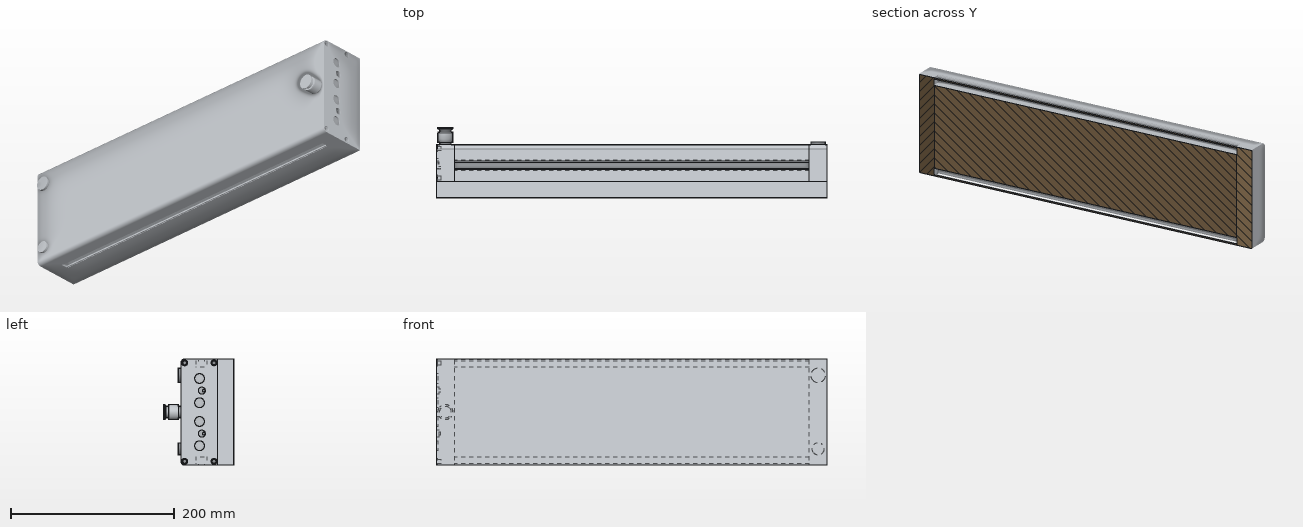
import cadquery as cq


LENGTH = 478.0
HEIGHT = 130.0
OVERALL_DEPTH = 86.0
PAD_DEPTH = 20.0
BODY_BACK_Y = 65.0
BACK_EDGE_RADIUS = 5.3
CAP_LENGTH = 22.0

BODY_DEPTH = BODY_BACK_Y - PAD_DEPTH
CAP_CENTRE_X = (LENGTH - CAP_LENGTH) / 2
LEFT_END_X = -LENGTH / 2

GROOVE_Y = 39.5
GROOVE_MOUTH_WIDTH = 10.0
GROOVE_WIDTH = 7.0
GROOVE_STEP_DEPTH = 0.5
GROOVE_LIP_DEPTH = 2.5
GROOVE_UNDERCUT_WIDTH = 13.0
GROOVE_DEPTH = 10.0

CONNECTOR_DIAMETER = 18.5
CONNECTOR_NECK_DIAMETER = 14.5
FOOT_LENGTH = 3.0
BARREL_END_Y = 80.5
BARREL_CHAMFER_LENGTH = 1.5
BARREL_CHAMFER_WIDTH = 0.25
FLANGE_THICKNESS = 1.5
FLANGE_FLARE_LENGTH = 1.5

DISC_Z = 45.0
DISC_HEIGHT = 3.5
UPPER_DISC_DIAMETER = 17.5
LOWER_DISC_DIAMETER = 15.0

PORT_Y = 42.0
PORT_Z = (11.5, 41.0)
PORT_DIAMETER = 12.0
PORT_DEPTH = 2.0
SOCKET_Y = 39.0
SOCKET_Z = 26.5
SOCKET_DIAMETER = 8.5
SOCKET_DEPTH = 3.5
PIN_HOLE_OFFSET_Y = -2.5
PIN_HOLE_DIAMETER = 3.5
PIN_HOLE_DEPTH = 5.3
SCREW_Y = (24.5, 60.0)
SCREW_Z = 60.0
SCREW_HEAD_DIAMETER = 7.0
SCREW_HEAD_DEPTH = 1.5
SCREW_SOCKET_DIAMETER = 5.0
SCREW_SOCKET_DEPTH = 5.5


def body_block(length, centre_x):
    """Block behind the pad with its two long back edges rounded."""
    block = cq.Workplane("XY").box(length, BODY_DEPTH, HEIGHT)
    block = block.edges("|X and >Y").fillet(BACK_EDGE_RADIUS)
    return block.translate((centre_x, PAD_DEPTH + BODY_DEPTH / 2, 0))


def disc_on_back(x, z, diameter, height):
    """Cylinder that stands on the back face and points to +Y."""
    base = cq.Vector(x, BODY_BACK_Y, z)
    return cq.Solid.makeCylinder(diameter / 2, height, base, cq.Vector(0, 1, 0))


def left_face_hole(y, z, diameter, depth):
    """Cylinder that cuts a blind hole from the left end face towards +X."""
    base = cq.Vector(LEFT_END_X, y, z)
    return cq.Solid.makeCylinder(diameter / 2, depth, base, cq.Vector(1, 0, 0))


def groove_bar(length, width, start_depth, end_depth, side):
    """Bar along X between two depths below the top (side = 1) or bottom (side = -1) face."""
    bar = cq.Workplane("XY").box(length, width, end_depth - start_depth)
    centre_z = (HEIGHT - start_depth - end_depth) / 2
    return bar.translate((0, GROOVE_Y, side * centre_z))


def make_pad():
    return cq.Workplane("XY").box(LENGTH, PAD_DEPTH, HEIGHT).translate((0, PAD_DEPTH / 2, 0))


def make_profile():
    length = LENGTH - 2 * CAP_LENGTH
    profile = body_block(length, 0)
    groove_steps = (
        (GROOVE_MOUTH_WIDTH, 0, GROOVE_STEP_DEPTH),
        (GROOVE_WIDTH, 0, GROOVE_DEPTH),
        (GROOVE_UNDERCUT_WIDTH, GROOVE_LIP_DEPTH, GROOVE_DEPTH),
    )
    for side in (1, -1):
        for width, start_depth, end_depth in groove_steps:
            profile = profile.cut(groove_bar(length, width, start_depth, end_depth, side))
    return profile


def make_connector():
    """Turned connector: narrow foot, barrel, neck and a flared end flange."""
    radius = CONNECTOR_DIAMETER / 2
    neck_radius = CONNECTOR_NECK_DIAMETER / 2
    flange_y = OVERALL_DEPTH - FLANGE_THICKNESS
    barrel_start_y = BODY_BACK_Y + FOOT_LENGTH
    outline = [
        (0, BODY_BACK_Y),
        (neck_radius, BODY_BACK_Y),
        (neck_radius, barrel_start_y),
        (radius, barrel_start_y),
        (radius, BARREL_END_Y - BARREL_CHAMFER_LENGTH),
        (radius - BARREL_CHAMFER_WIDTH, BARREL_END_Y),
        (neck_radius, BARREL_END_Y),
        (neck_radius, flange_y - FLANGE_FLARE_LENGTH),
        (radius, flange_y),
        (radius, OVERALL_DEPTH),
        (0, OVERALL_DEPTH),
    ]
    connector = cq.Workplane("XY").polyline(outline).close().revolve(360, (0, 0), (0, 1))
    return connector.translate((-CAP_CENTRE_X, 0, 0))


def make_left_cap():
    cap = body_block(CAP_LENGTH, -CAP_CENTRE_X).union(make_connector())
    for side in (1, -1):
        for z in PORT_Z:
            cap = cap.cut(left_face_hole(PORT_Y, side * z, PORT_DIAMETER, PORT_DEPTH))

        socket_z = side * SOCKET_Z
        pin_y = SOCKET_Y + PIN_HOLE_OFFSET_Y
        cap = cap.cut(left_face_hole(SOCKET_Y, socket_z, SOCKET_DIAMETER, SOCKET_DEPTH))
        cap = cap.cut(left_face_hole(pin_y, socket_z, PIN_HOLE_DIAMETER, PIN_HOLE_DEPTH))

        for y in SCREW_Y:
            screw_z = side * SCREW_Z
            cap = cap.cut(left_face_hole(y, screw_z, SCREW_HEAD_DIAMETER, SCREW_HEAD_DEPTH))
            cap = cap.cut(left_face_hole(y, screw_z, SCREW_SOCKET_DIAMETER, SCREW_SOCKET_DEPTH))
    return cap


def make_right_cap():
    cap = body_block(CAP_LENGTH, CAP_CENTRE_X)
    for z, diameter in ((DISC_Z, UPPER_DISC_DIAMETER), (-DISC_Z, LOWER_DISC_DIAMETER)):
        cap = cap.union(cq.Workplane(disc_on_back(CAP_CENTRE_X, z, diameter, DISC_HEIGHT)))
    return cap


pad = make_pad()
profile = make_profile()
left_cap = make_left_cap()
right_cap = make_right_cap()

result = cq.Compound.makeCompound([pad.val(), profile.val(), left_cap.val(), right_cap.val()])